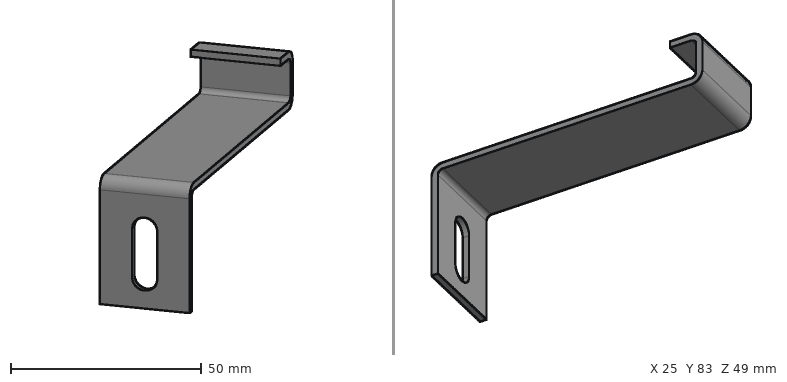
import cadquery as cq

width = 25.0
length = 83.0
height = 49.0

thickness = 2.0
inner_radius = 1.5
outer_radius = inner_radius + thickness

hook_height = 16.0
lip_length = 10.0

slot_width = 7.0
slot_length = 20.0
slot_bottom_margin = 5.0

front = -length / 2
back = length / 2
web_bottom = height - hook_height
web_top = web_bottom + thickness


def bent_strip():
    """Side profile with square corners, extruded across the width and rounded at the bends."""
    profile = [
        (front, 0),
        (front, web_top),
        (back - thickness, web_top),
        (back - thickness, height - thickness),
        (back - lip_length, height - thickness),
        (back - lip_length, height),
        (back, height),
        (back, web_bottom),
        (front + thickness, web_bottom),
        (front + thickness, 0),
    ]
    strip = cq.Workplane("YZ").polyline(profile).close().extrude(width / 2, both=True)

    outer_corners = [(front, web_top), (back, height), (back, web_bottom)]
    inner_corners = [
        (front + thickness, web_bottom),
        (back - thickness, height - thickness),
        (back - thickness, web_top),
    ]
    for corners, radius in ((outer_corners, outer_radius), (inner_corners, inner_radius)):
        for y, z in corners:
            strip = strip.edges(cq.NearestToPointSelector((0, y, z))).fillet(radius)
    return strip


def leg_slot():
    """Upright round-ended cutter passing through the front leg."""
    slot_center_z = slot_bottom_margin + slot_length / 2
    return (
        cq.Workplane("XZ", origin=(0, front, slot_center_z))
        .slot2D(slot_length, slot_width, angle=90)
        .extrude(2 * thickness, both=True)
    )


result = bent_strip().cut(leg_slot())